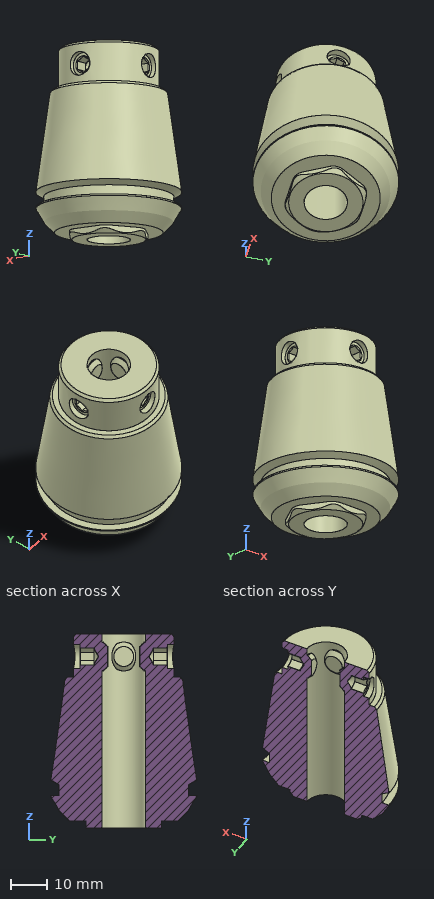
import cadquery as cq
import math

total_height = 54.0
bore_diameter = 12.0

collar_diameter = 28.0
edge_chamfer = 0.75

body_diameter = 40.65
body_bottom_z = 13.4
body_top_z = 42.0
taper_angle = 8.0

groove_diameter = 36.2
groove_flank_angle = 30.0

flange_diameter = 40.55
flange_top_z = 9.1
flange_rim_height = 0.45
flange_knee_diameter = 35.95
flange_knee_z = 4.85
flange_bottom_diameter = 30.25
flange_bottom_z = 2.0

hex_across_flats = 21.05
hex_across_corners = 23.1
hex_bottom_diameter = 20.65

screw_count = 4
screw_z = 47.7
screw_hole_diameter = 6.65
screw_diameter = 8.0
screw_head_radius = 12.2
screw_tip_radius = 4.45
screw_tip_diameter = 5.5
socket_across_flats = 4.0
socket_mouth_diameter = 4.85
socket_depth = 4.0
socket_mouth_angle = 120.0
drill_point_angle = 118.0


def corner_diameter(across_flats):
    """Circumscribed circle of a sharp hexagon."""
    return across_flats / math.cos(math.radians(30))


def make_turned_body():
    """Collar, tapered body, groove and flange as one revolved profile."""
    collar_radius = collar_diameter / 2
    body_radius = body_diameter / 2
    groove_radius = groove_diameter / 2
    flange_radius = flange_diameter / 2
    shoulder_z = body_top_z - edge_chamfer
    shoulder_radius = body_radius - (shoulder_z - body_bottom_z) * math.tan(math.radians(taper_angle))
    flank_height = (body_radius - groove_radius) * math.tan(math.radians(groove_flank_angle))
    profile = [
        (0, flange_bottom_z),
        (flange_bottom_diameter / 2, flange_bottom_z),
        (flange_knee_diameter / 2, flange_knee_z),
        (flange_radius, flange_top_z - flange_rim_height),
        (flange_radius, flange_top_z),
        (groove_radius, flange_top_z),
        (groove_radius, body_bottom_z - flank_height),
        (body_radius, body_bottom_z),
        (shoulder_radius, shoulder_z),
        (shoulder_radius - edge_chamfer, body_top_z),
        (collar_radius, body_top_z),
        (collar_radius, total_height - edge_chamfer),
        (collar_radius - edge_chamfer, total_height),
        (0, total_height),
    ]
    return cq.Workplane("XZ").polyline(profile).close().revolve(360, (0, 0), (0, 1))


def make_hex_end():
    """Hexagon with rounded corners, bevelled at 45 degrees around its bottom edge."""
    sharp_diameter = corner_diameter(hex_across_flats)
    corner_trim = (sharp_diameter - hex_across_corners) / 2
    corner_fillet = corner_trim / (1 / math.cos(math.radians(30)) - 1)
    prism = (
        cq.Workplane("XY")
        .polygon(6, sharp_diameter)
        .extrude(flange_bottom_z)
        .edges("|Z")
        .fillet(corner_fillet)
    )
    bottom_radius = hex_bottom_diameter / 2
    bevel_cone = (
        cq.Workplane("XZ")
        .polyline([
            (0, 0),
            (bottom_radius, 0),
            (bottom_radius + flange_bottom_z, flange_bottom_z),
            (0, flange_bottom_z),
        ])
        .close()
        .revolve(360, (0, 0), (0, 1))
    )
    return prism.intersect(bevel_cone)


def make_screw():
    """Set screw along Z with a flat, chamfered tip towards the bore."""
    return (
        cq.Workplane("XY", origin=(0, 0, screw_tip_radius))
        .circle(screw_diameter / 2)
        .extrude(screw_head_radius - screw_tip_radius)
        .faces("<Z")
        .chamfer((screw_diameter - screw_tip_diameter) / 2)
    )


def make_screw_access():
    """Cavity along Z: hole down to the screw head, then its hexagon socket with a drilled point."""
    hole = (
        cq.Workplane("XY", origin=(0, 0, screw_head_radius))
        .circle(screw_hole_diameter / 2)
        .extrude(collar_diameter / 2 - screw_head_radius)
    )
    socket_bottom = screw_head_radius - socket_depth
    socket = (
        cq.Workplane("XY", origin=(0, 0, socket_bottom))
        .polygon(6, corner_diameter(socket_across_flats))
        .extrude(socket_depth)
    )
    inner_radius = socket_across_flats / 2
    mouth_radius = socket_mouth_diameter / 2
    point_depth = inner_radius / math.tan(math.radians(drill_point_angle / 2))
    mouth_depth = (mouth_radius - inner_radius) / math.tan(math.radians(socket_mouth_angle / 2))
    drilling = (
        cq.Workplane("XZ")
        .polyline([
            (0, socket_bottom - point_depth),
            (inner_radius, socket_bottom),
            (inner_radius, screw_head_radius - mouth_depth),
            (mouth_radius, screw_head_radius),
            (0, screw_head_radius),
        ])
        .close()
        .revolve(360, (0, 0), (0, 1))
    )
    return hole.union(socket).union(drilling)


def place_around_collar(shape, index):
    """Turn a shape built along Z to point outward through the collar."""
    outward = shape.rotate((0, 0, 0), (0, 1, 0), 90)
    turned = outward.rotate((0, 0, 0), (0, 0, 1), index * 360 / screw_count)
    return turned.translate((0, 0, screw_z))


result = make_turned_body().union(make_hex_end())
result = result.cut(cq.Workplane("XY").circle(bore_diameter / 2).extrude(total_height))

screw = make_screw()
screw_access = make_screw_access()
for index in range(screw_count):
    result = result.union(place_around_collar(screw, index))
    result = result.cut(place_around_collar(screw_access, index))